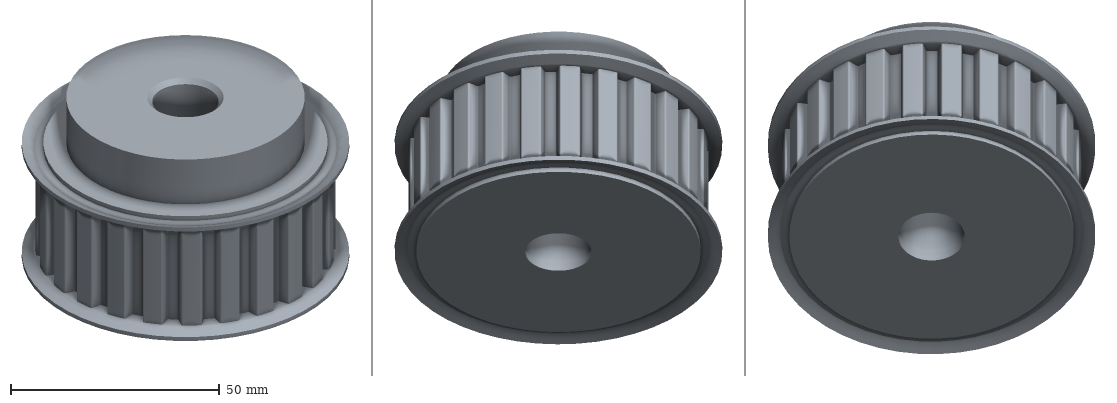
import cadquery as cq
import math

flange_diameter = 78.6
body_height = 31.9
hub_height = 12.6
hub_diameter = 57.2
total_height = body_height + hub_height

bore_diameter = 15.95
bore_chamfer = 1.2

flange_radius = flange_diameter / 2
flange_thickness = 1.1
flange_dish = 1.25
flange_flat_radius = 36.3
shoulder_radius = 34.1
flange_depth = flange_thickness + flange_dish

tooth_count = 24
tooth_pitch_angle = 360 / tooth_count
tip_radius = 36.0
groove_depth = 2.7
root_radius = tip_radius - groove_depth
groove_root_width = 2.7
groove_half_angle = 20.0
root_fillet = 0.3
tip_fillet = 0.5
groove_length = body_height - 2 * flange_depth


def make_flange():
    """Lower flange ring; its bend is sharp underneath and rounded towards the teeth."""
    rim_slope = math.atan2(flange_dish, flange_radius - flange_flat_radius)
    bend_setback = flange_flat_radius - tip_radius
    bend_end = (
        flange_flat_radius + bend_setback * math.cos(rim_slope),
        flange_depth - bend_setback * math.sin(rim_slope),
    )
    return (
        cq.Workplane("XZ")
        .moveTo(shoulder_radius, flange_dish)
        .lineTo(flange_flat_radius, flange_dish)
        .lineTo(flange_radius, 0)
        .lineTo(flange_radius, flange_thickness)
        .lineTo(*bend_end)
        .tangentArcPoint((tip_radius, flange_depth), relative=False)
        .lineTo(shoulder_radius, flange_depth)
        .close()
        .revolve(360, (0, 0, 0), (0, 1, 0))
    )


def make_core():
    """Solid inside the flanges: end shoulders, plain tooth band and hub."""
    shoulders = cq.Workplane("XY").circle(shoulder_radius).extrude(body_height)
    band = cq.Workplane("XY", origin=(0, 0, flange_depth)).circle(tip_radius).extrude(groove_length)
    hub = cq.Workplane("XY", origin=(0, 0, body_height)).circle(hub_diameter / 2).extrude(hub_height)
    return shoulders.union(band).union(hub)


def polar_point(center, radius, angle):
    """Point on a circle at an angle counted from the horizontal axis."""
    return (center[0] + radius * math.cos(angle), center[1] + radius * math.sin(angle))


def make_groove():
    """Tooth gap on the +Y side, with rounded root corners and rounded tooth tips."""
    flare = math.radians(groove_half_angle)
    quarter_turn = math.pi / 2
    root_half = groove_root_width / 2

    root_setback = root_fillet * math.tan((quarter_turn - flare) / 2)
    root_center = (root_half - root_setback, root_radius + root_fillet)
    floor_end = polar_point(root_center, root_fillet, -quarter_turn)
    root_middle = polar_point(root_center, root_fillet, -(quarter_turn + flare) / 2)
    flank_start = polar_point(root_center, root_fillet, -flare)

    orbit_radius = tip_radius - tip_fillet
    flank_offset = root_half * math.cos(flare) - root_radius * math.sin(flare)
    tip_angle = quarter_turn - flare - math.asin((flank_offset + tip_fillet) / orbit_radius)
    tip_center = polar_point((0, 0), orbit_radius, tip_angle)
    flank_end = polar_point(tip_center, tip_fillet, math.pi - flare)
    tip_middle = polar_point(tip_center, tip_fillet, (math.pi - flare + tip_angle) / 2)
    tip_end = polar_point(tip_center, tip_fillet, tip_angle)

    def mirrored(point):
        return (-point[0], point[1])

    return (
        cq.Workplane("XY", origin=(0, 0, flange_depth))
        .moveTo(*mirrored(floor_end))
        .lineTo(*floor_end)
        .threePointArc(root_middle, flank_start)
        .lineTo(*flank_end)
        .threePointArc(tip_middle, tip_end)
        .threePointArc((0, tip_radius), mirrored(tip_end))
        .threePointArc(mirrored(tip_middle), mirrored(flank_end))
        .lineTo(*mirrored(flank_start))
        .threePointArc(mirrored(root_middle), mirrored(floor_end))
        .close()
        .extrude(groove_length)
    )


def make_bore():
    """Through bore with a countersunk mouth at the hub face."""
    bore_radius = bore_diameter / 2
    profile = [
        (0, 0),
        (bore_radius, 0),
        (bore_radius, total_height - bore_chamfer),
        (bore_radius + bore_chamfer, total_height),
        (0, total_height),
    ]
    return cq.Workplane("XZ").polyline(profile).close().revolve(360, (0, 0, 0), (0, 1, 0))


lower_flange = make_flange()
upper_flange = lower_flange.mirror("XY", (0, 0, body_height / 2))
result = make_core().union(lower_flange).union(upper_flange).cut(make_bore())

groove = make_groove()
for index in range(tooth_count):
    result = result.cut(groove.rotate((0, 0, 0), (0, 0, 1), index * tooth_pitch_angle))